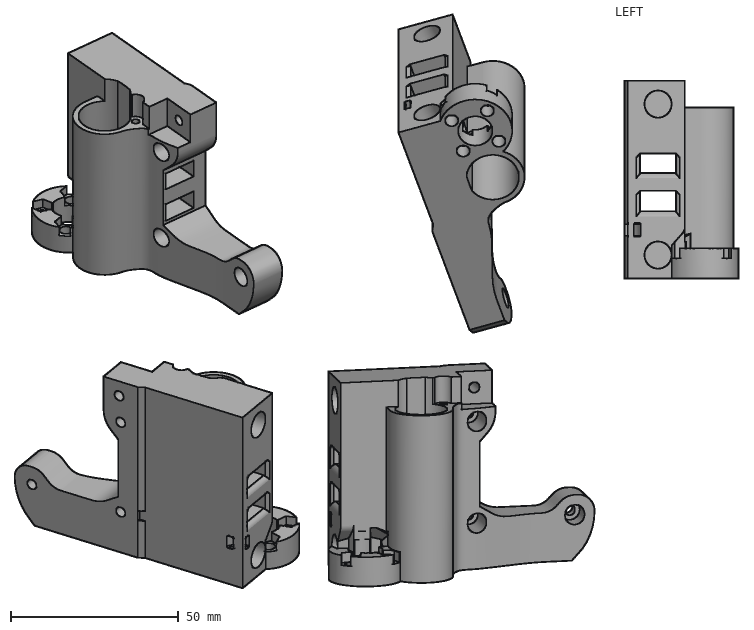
import cadquery as cq
import math


BODY_LEFT = -23.5
BODY_WIDTH = 48.0
BODY_RIGHT = BODY_LEFT + BODY_WIDTH
BODY_FRONT = 5.0
BODY_BACK = 22.0
BODY_HEIGHT = 59.0
MOTOR_FACE = 23.0
STEP_X = 10.5
STEP_RUN = 2.0
RIGHT_FRONT = 6.1

TUBE_RADIUS = 9.5
TUBE_HEIGHT = 51.0
BORE_RADIUS = 7.8
BORE_FLAT_Y = 7.4
BORE_FLAT_HALF = 1.5
BORE_BEVEL_HALF = 2.8
PILOT_X = 8.0
PILOT_Y = 5.4
PILOT_DIA = 2.3
PILOT_DEPTH = 10.0
PILOT_RELIEF_RADIUS = 2.6

MOTOR_X = 34.0
MOTOR_Z = BODY_HEIGHT / 2
MOTOR_PITCH = 31.0
SCREW_DIA = 3.2
SCREW_HEAD_DIA = 6.0
SCREW_FLOOR = 4.0
HOLE_LEFT = MOTOR_X - MOTOR_PITCH / 2
HOLE_RIGHT = MOTOR_X + MOTOR_PITCH / 2
HOLE_LOW = MOTOR_Z - MOTOR_PITCH / 2
HOLE_HIGH = MOTOR_Z + MOTOR_PITCH / 2
LUG_THICKNESS = 11.0
LUG_FRONT = MOTOR_FACE - LUG_THICKNESS
PART_RIGHT = 55.56
WAIST_X = 19.4
ARM_TOP = 15.0
LUG_RADIUS = 6.06
LUG_END_RADIUS = 5.1

LUG_CURVE_START = (41.3, LUG_FRONT)
ARM_SLOPE_HIGH = (32.5, 10.65)
ARM_SLOPE_LOW = (21.7, 7.3)
ARM_ROOT = (15.2, 6.15)
NECK_TOP = (11.9, 4.4)
NECK_END = (TUBE_RADIUS, -0.6)

EAR_ARC_TOP = (BODY_RIGHT, 47.4)
EAR_ARC_END = (22.0, 41.4)
WAIST_TOP = (WAIST_X, 38.8)
WAIST_BOTTOM = (WAIST_X, 19.0)
ARM_ARC_START = (23.2, 16.6)
ARM_ARC_END = (29.2, ARM_TOP)
LUG_FILLET_START = (39.5, ARM_TOP)
LUG_FILLET_END = (43.7, 16.75)
LUG_BELLY_MID = (54.6, 8.8)
LUG_BELLY_END = (52.0, 3.7)
LUG_BASE = (48.6, 0)

RECESS_LEFT = 13.6
RECESS_FLOOR = 49.0
RECESS_BACK = 13.0
STOP_SCREW_X = (RECESS_LEFT + BODY_RIGHT) / 2
STOP_SCREW_Z = (RECESS_FLOOR + BODY_HEIGHT) / 2

HUB_X = -17.0
HUB_RADIUS = 11.0
HUB_HEIGHT = 9.0
HUB_BORE_DIA = 10.2
HUB_BORE_TOP = 13.5
COLLAR_TOP = 11.0
COLLAR_FRONT = 4.5
COLLAR_WIDTH = 6.0
HUB_SCREW_RADIUS = 7.9
NUT_RADIUS = 8.03
HUB_SCREW_DIA = 3.9
NUT_FLATS = 5.7
NUT_SEAT = 6.0
NUT_CORNER = NUT_FLATS / math.sqrt(3)
RIGHT_NUT_ANGLE = 45
LEFT_NUT_ANGLE = 135
NUT_ANGLES = (RIGHT_NUT_ANGLE, LEFT_NUT_ANGLE, 225, 315)
HEX_TURN = 30

ROOF_SLOPE = 1.14
ROOF_BACK = 12.0
LEFT_ROOF_TOP = 15.35
LEFT_ROOF_BEND = (5.9, 13.3)
LEFT_ROOF_MID = (5.25, 14.2)
RIGHT_ROOF_FRONT = 14.35
CONE_HEIGHT = 18.2
CONE_SLOPE = 0.58

ROD_Y = 13.0
ROD_PITCH = 45.0
ROD_MOUTH_DIA = 8.12
ROD_DIA = 8.06
ROD_MOUTH_DEPTH = 2.9
ROD_TAPER = 1.4
ROD_DEPTH = 32.0

WINDOWS = ((20.1, 26.1), (31.5, 37.2))
WINDOW_WIDTH = 10.7
MOUTH_SIDE = 1.1
MOUTH_BOTTOM = 1.6
MOUTH_DEPTH = 1.4
MOUTH_SIDE_DEPTH = 0.9
MOUTH_ROUND = 2.2

TIE_Z = 14.5
TIE_HEIGHT = 4.2
TIE_CENTER_Y = 24.0
TIE_INNER = 3.8
TIE_OUTER = 5.9
TIE_CHAMFER = 0.4
NOTCH_HEIGHT = 3.4

OVER = 1.0
REACH = 200.0


def block(x0, x1, y0, y1, z0, z1):
    return cq.Workplane("XY").box(x1 - x0, y1 - y0, z1 - z0, centered=False).translate((x0, y0, z0))


def cylinder_z(x, y, dia, z0, z1):
    return cq.Workplane("XY").workplane(offset=z0).center(x, y).circle(dia / 2).extrude(z1 - z0)


def cylinder_y(x, z, dia, y0, y1):
    return cq.Workplane("XZ", origin=(0, y0, 0)).center(x, z).circle(dia / 2).extrude(y0 - y1)


def plan_body():
    """Body, tube and arm as one plan outline at full height."""
    return (
        cq.Workplane("XY")
        .moveTo(BODY_LEFT, BODY_FRONT)
        .lineTo(BODY_LEFT, BODY_BACK)
        .lineTo(STEP_X, BODY_BACK)
        .lineTo(STEP_X + STEP_RUN, MOTOR_FACE)
        .lineTo(PART_RIGHT, MOTOR_FACE)
        .lineTo(PART_RIGHT, LUG_FRONT)
        .lineTo(*LUG_CURVE_START)
        .tangentArcPoint(ARM_SLOPE_HIGH, relative=False)
        .lineTo(*ARM_SLOPE_LOW)
        .tangentArcPoint(ARM_ROOT, relative=False)
        .tangentArcPoint(NECK_TOP, relative=False)
        .tangentArcPoint(NECK_END, relative=False)
        .threePointArc((0, -TUBE_RADIUS), (-TUBE_RADIUS, 0))
        .lineTo(-TUBE_RADIUS, BODY_FRONT)
        .close()
        .extrude(BODY_HEIGHT)
    )


def side_outline():
    """Outline across X and Z that gives the motor arm and lug their shape."""
    diagonal = LUG_RADIUS * math.sqrt(0.5)
    lug_top = HOLE_LOW + LUG_RADIUS
    end_x = PART_RIGHT - LUG_END_RADIUS
    return (
        cq.Workplane("XZ", origin=(0, MOTOR_FACE, 0))
        .moveTo(BODY_LEFT, 0)
        .lineTo(BODY_LEFT, BODY_HEIGHT)
        .lineTo(BODY_RIGHT, BODY_HEIGHT)
        .lineTo(*EAR_ARC_TOP)
        .tangentArcPoint(EAR_ARC_END, relative=False)
        .lineTo(*WAIST_TOP)
        .lineTo(*WAIST_BOTTOM)
        .lineTo(*ARM_ARC_START)
        .tangentArcPoint(ARM_ARC_END, relative=False)
        .lineTo(*LUG_FILLET_START)
        .tangentArcPoint(LUG_FILLET_END, relative=False)
        .lineTo(HOLE_RIGHT - diagonal, HOLE_LOW + diagonal)
        .tangentArcPoint((HOLE_RIGHT, lug_top), relative=False)
        .lineTo(end_x, lug_top)
        .tangentArcPoint((PART_RIGHT, lug_top - LUG_END_RADIUS), relative=False)
        .threePointArc(LUG_BELLY_MID, LUG_BELLY_END)
        .lineTo(*LUG_BASE)
        .close()
        .extrude(REACH)
    )


def upper_cuts():
    """Room in front of the body above the tube, and the recess of the stop screw."""
    left = block(-REACH, 0, -REACH, BODY_FRONT, TUBE_HEIGHT, BODY_HEIGHT)
    right = block(0, RECESS_LEFT, -REACH, RIGHT_FRONT, TUBE_HEIGHT, BODY_HEIGHT)
    recess = block(RECESS_LEFT, REACH, -REACH, RECESS_BACK, RECESS_FLOOR, BODY_HEIGHT)
    relief = cylinder_z(PILOT_X, PILOT_Y, 2 * PILOT_RELIEF_RADIUS, TUBE_HEIGHT, BODY_HEIGHT)
    pilot = cylinder_z(PILOT_X, PILOT_Y, PILOT_DIA, TUBE_HEIGHT - PILOT_DEPTH, TUBE_HEIGHT)
    return left.union(right).union(recess).union(relief).union(pilot)


def tube_bore():
    """Round bearing bore with a flattened, bevelled back."""
    bevel_y = math.sqrt(BORE_RADIUS ** 2 - BORE_BEVEL_HALF ** 2)
    return (
        cq.Workplane("XY", origin=(0, 0, -OVER))
        .moveTo(-BORE_BEVEL_HALF, bevel_y)
        .threePointArc((0, -BORE_RADIUS), (BORE_BEVEL_HALF, bevel_y))
        .lineTo(BORE_FLAT_HALF, BORE_FLAT_Y)
        .lineTo(-BORE_FLAT_HALF, BORE_FLAT_Y)
        .close()
        .extrude(BODY_HEIGHT + 2 * OVER)
    )


def hub():
    """Hub ring and the collar that climbs the body front behind it."""
    ring = cylinder_z(HUB_X, 0, 2 * HUB_RADIUS, 0, HUB_HEIGHT)
    half = COLLAR_WIDTH / 2
    collar = block(HUB_X - half, HUB_X + half, COLLAR_FRONT, BODY_FRONT + OVER, 0, COLLAR_TOP)
    return ring.union(collar)


def nut_prism(angle, top):
    """Hexagonal nut seat, open to the hub bore and to the outside."""
    nut = (
        cq.Workplane("XY")
        .workplane(offset=NUT_SEAT)
        .center(NUT_RADIUS, 0)
        .transformed(rotate=(0, 0, HEX_TURN))
        .polygon(6, 2 * NUT_CORNER)
        .extrude(top - NUT_SEAT)
    )
    mouth = block(HUB_BORE_DIA / 2 - OVER, HUB_RADIUS + OVER / 2,
                  -NUT_CORNER / 2, NUT_CORNER / 2, NUT_SEAT, top)
    prism = nut.union(mouth)
    return prism.rotate((0, 0, 0), (0, 0, 1), angle).translate((HUB_X, 0, 0))


def left_roof():
    """Space below the sloped roof over the left rear nut, rounded toward the body front."""
    bend_y, bend_z = LEFT_ROOF_BEND
    return (
        cq.Workplane("YZ", origin=(BODY_LEFT - OVER, 0, 0))
        .moveTo(0, 0)
        .lineTo(0, LEFT_ROOF_TOP)
        .lineTo(BODY_FRONT, LEFT_ROOF_TOP)
        .threePointArc(LEFT_ROOF_MID, LEFT_ROOF_BEND)
        .lineTo(ROOF_BACK, bend_z - ROOF_SLOPE * (ROOF_BACK - bend_y))
        .lineTo(ROOF_BACK, 0)
        .close()
        .extrude(HUB_X - BODY_LEFT + OVER)
    )


def right_roof():
    """Space below the right rear roof, which is both sloped to the back and conical."""
    cone_radius = HUB_RADIUS + OVER
    slope = (
        cq.Workplane("YZ", origin=(HUB_X, 0, 0))
        .moveTo(0, 0)
        .lineTo(0, RIGHT_ROOF_FRONT + ROOF_SLOPE * BODY_FRONT)
        .lineTo(ROOF_BACK, RIGHT_ROOF_FRONT - ROOF_SLOPE * (ROOF_BACK - BODY_FRONT))
        .lineTo(ROOF_BACK, 0)
        .close()
        .extrude(cone_radius)
    )
    cone = (
        cq.Workplane("XZ", origin=(HUB_X, 0, 0))
        .lineTo(cone_radius, 0)
        .lineTo(cone_radius, CONE_HEIGHT - CONE_SLOPE * cone_radius)
        .lineTo(0, CONE_HEIGHT)
        .close()
        .revolve(360, (0, 0), (0, 1))
    )
    return slope.intersect(cone)


def hub_cuts():
    """Hub bore, screw holes, nut seats and the access above the two rear nuts."""
    cuts = cylinder_z(HUB_X, 0, HUB_BORE_DIA, -OVER, HUB_BORE_TOP)
    for angle in NUT_ANGLES:
        x = HUB_X + HUB_SCREW_RADIUS * math.cos(math.radians(angle))
        y = HUB_SCREW_RADIUS * math.sin(math.radians(angle))
        cuts = cuts.union(cylinder_z(x, y, HUB_SCREW_DIA, -OVER, NUT_SEAT + OVER))
        cuts = cuts.union(nut_prism(angle, HUB_HEIGHT))
    cuts = cuts.union(nut_prism(LEFT_NUT_ANGLE, TUBE_HEIGHT).intersect(left_roof()))
    return cuts.union(nut_prism(RIGHT_NUT_ANGLE, TUBE_HEIGHT).intersect(right_roof()))


def motor_holes():
    """Three counterbored motor screw holes and the plain stop screw hole."""
    holes = cylinder_y(STOP_SCREW_X, STOP_SCREW_Z, SCREW_DIA, 0, MOTOR_FACE + OVER)
    for x, z in ((HOLE_LEFT, HOLE_LOW), (HOLE_LEFT, HOLE_HIGH), (HOLE_RIGHT, HOLE_LOW)):
        holes = holes.union(cylinder_y(x, z, SCREW_DIA, 0, MOTOR_FACE + OVER))
        holes = holes.union(cylinder_y(x, z, SCREW_HEAD_DIA, 0, MOTOR_FACE - SCREW_FLOOR))
    return holes


def rod_sockets():
    """Blind sockets for the two smooth rods, tapering slightly behind the mouth."""
    socket = (
        cq.Workplane("XY")
        .moveTo(BODY_LEFT, 0)
        .lineTo(BODY_LEFT, ROD_MOUTH_DIA / 2)
        .lineTo(BODY_LEFT + ROD_MOUTH_DEPTH, ROD_MOUTH_DIA / 2)
        .lineTo(BODY_LEFT + ROD_MOUTH_DEPTH + ROD_TAPER, ROD_DIA / 2)
        .lineTo(BODY_LEFT + ROD_DEPTH, ROD_DIA / 2)
        .lineTo(BODY_LEFT + ROD_DEPTH, 0)
        .close()
        .revolve(360, (0, 0), (1, 0))
    )
    lower = socket.translate((0, ROD_Y, MOTOR_Z - ROD_PITCH / 2))
    return lower.union(lower.translate((0, 0, ROD_PITCH)))


def belt_window(bottom, top):
    """Belt passage along X with its left mouth rounded at the sides and the bottom."""
    half = WINDOW_WIDTH / 2
    mouth_half = half + MOUTH_SIDE
    mouth_bottom = bottom - MOUTH_BOTTOM
    inner_x = BODY_LEFT + MOUTH_DEPTH
    side_x = BODY_LEFT + MOUTH_SIDE_DEPTH
    window = block(BODY_LEFT - OVER, BODY_RIGHT + OVER, ROD_Y - half, ROD_Y + half, bottom, top)
    bottom_flare = (
        cq.Workplane("XZ", origin=(0, ROD_Y + mouth_half, 0))
        .moveTo(BODY_LEFT, top)
        .lineTo(BODY_LEFT, mouth_bottom)
        .radiusArc((inner_x, bottom), MOUTH_ROUND)
        .lineTo(inner_x, top)
        .close()
        .extrude(2 * mouth_half)
    )
    side_flare = (
        cq.Workplane("XY", origin=(0, ROD_Y, mouth_bottom))
        .moveTo(BODY_LEFT, -mouth_half)
        .radiusArc((side_x, -half), MOUTH_ROUND)
        .lineTo(inner_x, -half)
        .lineTo(inner_x, half)
        .lineTo(side_x, half)
        .radiusArc((BODY_LEFT, mouth_half), MOUTH_ROUND)
        .close()
        .extrude(top - mouth_bottom)
    )
    mouth_face = (
        cq.Workplane("YZ", origin=(BODY_LEFT, ROD_Y, 0))
        .moveTo(-mouth_half, mouth_bottom)
        .lineTo(mouth_half, mouth_bottom)
        .lineTo(mouth_half, top - MOUTH_SIDE)
        .lineTo(half, top)
        .lineTo(-half, top)
        .lineTo(-mouth_half, top - MOUTH_SIDE)
        .close()
        .extrude(MOUTH_DEPTH)
    )
    return window.union(bottom_flare.intersect(side_flare).intersect(mouth_face))


def tie_cuts():
    """Quarter-ring cable tie slot from the left side to the back, and the step notch."""
    slot = (
        cq.Workplane("XY", origin=(BODY_LEFT, TIE_CENTER_Y, TIE_Z - TIE_HEIGHT / 2))
        .circle(TIE_OUTER)
        .circle(TIE_INNER)
        .extrude(TIE_HEIGHT)
        .edges("%CIRCLE")
        .chamfer(TIE_CHAMFER)
    )
    half = NOTCH_HEIGHT / 2
    notch = block(STEP_X, STEP_X + STEP_RUN, BODY_BACK, MOTOR_FACE, TIE_Z - half, TIE_Z + half)
    return slot.union(notch)


part = plan_body().intersect(side_outline()).cut(upper_cuts())
part = part.union(hub()).cut(tube_bore()).cut(hub_cuts())
part = part.cut(motor_holes()).cut(rod_sockets()).cut(tie_cuts())
for window_bottom, window_top in WINDOWS:
    part = part.cut(belt_window(window_bottom, window_top))
result = part